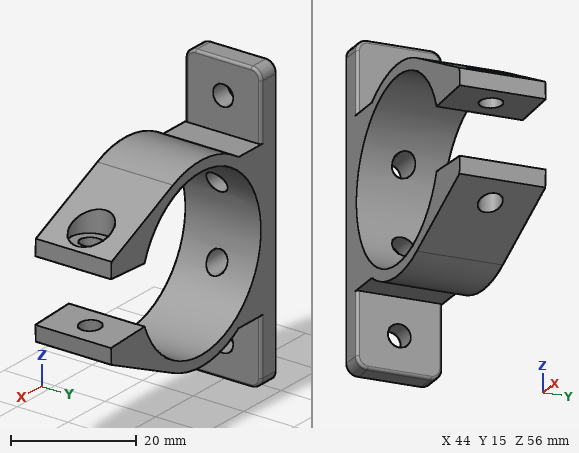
import cadquery as cq
import math

plate_height = 56.0
width = 15.0
plate_thickness = 4.0
corner_radius = 2.0
front_edge_radius = 0.5
screw_diameter = 4.0
inner_screw_z = 7.0
outer_screw_z = 21.5

bore_radius = 16.0
wall = 2.0
ring_radius = bore_radius + wall
ring_x = plate_thickness + bore_radius
web_half_height = 14.95

tip_x = 44.0
jaw_tip_z = 6.0
jaw_angle = math.radians(3)
tip_length = 3.0
bolt_x = 39.4
bolt_diameter = 4.0
counterbore_diameter = 7.5
counterbore_floor = 3.0


def make_plate():
    plate = cq.Workplane("XY").box(
        plate_thickness, width, plate_height, centered=(False, True, True)
    )
    plate = plate.edges("|X").fillet(corner_radius)
    return plate.faces(">X").edges().fillet(front_edge_radius)


def extrude_profile(profile):
    return profile.extrude(width / 2, both=True)


def make_web():
    """Block joining the ring to the plate, ending on the ring's outer surface."""
    ring_meet_x = ring_x - math.sqrt(ring_radius**2 - web_half_height**2)
    start_x = plate_thickness - front_edge_radius
    web = cq.Workplane("XZ").moveTo((start_x + ring_meet_x) / 2, 0)
    return extrude_profile(web.rect(ring_meet_x - start_x, 2 * web_half_height))


jaw_direction = (-math.cos(jaw_angle), -math.sin(jaw_angle))
jaw_tip = (tip_x, jaw_tip_z)
along = (tip_x - ring_x) * jaw_direction[0] + jaw_tip_z * jaw_direction[1]
tip_distance = math.hypot(tip_x - ring_x, jaw_tip_z)
jaw_length = -along - math.sqrt(along**2 - tip_distance**2 + bore_radius**2)
jaw_root = (tip_x + jaw_length * jaw_direction[0], jaw_tip_z + jaw_length * jaw_direction[1])

back_tip = (
    tip_x - tip_length * math.sin(jaw_angle),
    jaw_tip_z + tip_length * math.cos(jaw_angle),
)
back_distance = math.hypot(back_tip[0] - ring_x, back_tip[1])
tangent_angle = math.atan2(back_tip[1], back_tip[0] - ring_x) + math.acos(ring_radius / back_distance)
tangent = (
    ring_x + ring_radius * math.cos(tangent_angle),
    ring_radius * math.sin(tangent_angle),
)


def make_clamp():
    """Ring with both arms, opened between the jaw faces."""
    clamp = extrude_profile(cq.Workplane("XZ").center(ring_x, 0).circle(ring_radius))
    for side in (1, -1):
        outline = [(ring_x, 0), tangent, back_tip, jaw_tip, jaw_root]
        arm = cq.Workplane("XZ").polyline([(x, side * z) for x, z in outline]).close()
        clamp = clamp.union(extrude_profile(arm))
    gap = [
        (ring_x, 0),
        jaw_root,
        jaw_tip,
        (jaw_tip[0], -jaw_tip[1]),
        (jaw_root[0], -jaw_root[1]),
    ]
    return clamp.cut(extrude_profile(cq.Workplane("XZ").polyline(gap).close()))


def make_screw_holes():
    positions = [(0, z) for z in (-outer_screw_z, -inner_screw_z, inner_screw_z, outer_screw_z)]
    return cq.Workplane("YZ").pushPoints(positions).circle(screw_diameter / 2).extrude(ring_x)


def arm_hole(diameter, start, side):
    """Hole square to one jaw face, starting at a height above that face."""
    jaw_z = jaw_tip_z - (tip_x - bolt_x) * math.tan(jaw_angle)
    axis = cq.Vector(-math.sin(jaw_angle), 0, side * math.cos(jaw_angle))
    origin = cq.Vector(bolt_x, 0, side * jaw_z) + axis * start
    plane = cq.Plane(origin=origin, xDir=(0, 1, 0), normal=axis)
    return cq.Workplane(plane).circle(diameter / 2).extrude(ring_radius)


result = make_plate().union(make_web()).union(make_clamp())
result = result.cut(extrude_profile(cq.Workplane("XZ").center(ring_x, 0).circle(bore_radius)))
result = result.cut(make_screw_holes())
for arm_side in (1, -1):
    result = result.cut(arm_hole(bolt_diameter, -wall, arm_side))
result = result.cut(arm_hole(counterbore_diameter, counterbore_floor, 1))